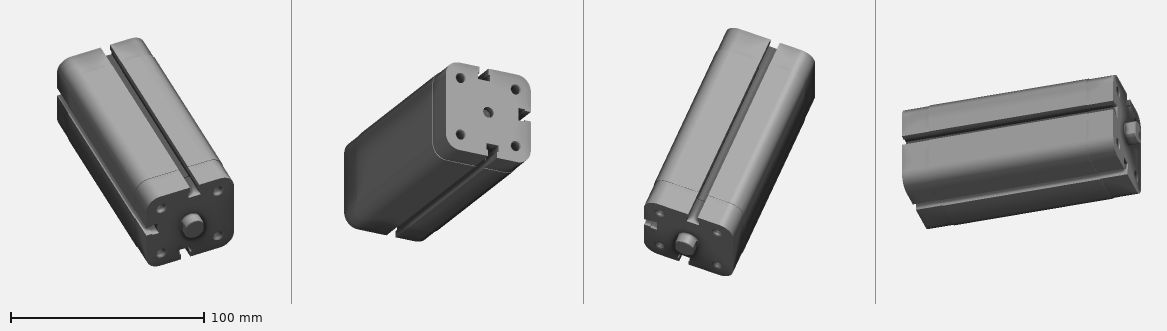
import cadquery as cq

overall_length = 120.5
rod_stub = 6.0
body_length = overall_length - rod_stub
cap_length = 14.5
tube_length = body_length - 2 * cap_length

tube_width = 50.0
cap_step = 0.2
cap_width = tube_width - 2 * cap_step
tube_corner_radius = 8.0
cap_corner_radius = 8.0

slot_offset = 2.5
slot_mouth = 5.3
slot_lip = 3.7
tube_slot_width = 6.3
tube_slot_depth = 7.0
tube_slot_floor = tube_width / 2 - tube_slot_depth
cap_slot_clearance = 0.4
cap_slot_width = tube_slot_width + 2 * cap_slot_clearance
cap_slot_floor = tube_slot_floor - cap_slot_clearance
slot_turns = (0, 90, 180)

screw_spacing = 32.0
screw_diameter = 5.0
screw_countersink_diameter = 6.0
centre_hole_diameter = 6.0
centre_hole_depth = 4.0

rod_diameter = 11.8
rod_chamfer = 0.4
rod_flat_width = 9.8
rod_flat_start = 0.5
rod_flat_cutter_radius = 12.0


def rounded_bar(start, length, width, corner_radius):
    """A square bar along X with rounded corners."""
    return (
        cq.Workplane("YZ", origin=(start, 0, 0))
        .rect(width, width)
        .extrude(length)
        .edges("|X")
        .fillet(corner_radius)
    )


def cut_slots(body, start, length, slot_width, slot_floor):
    """Cut the T-slots along the body, starting from the one in the +Z side."""
    half = tube_width / 2
    lip_bottom = half - slot_lip
    plane = cq.Workplane("YZ", origin=(start, 0, 0))
    mouth = plane.center(slot_offset, (slot_floor + half) / 2)
    mouth = mouth.rect(slot_mouth, half - slot_floor).extrude(length)
    undercut = plane.center(slot_offset, (slot_floor + lip_bottom) / 2)
    undercut = undercut.rect(slot_width, lip_bottom - slot_floor).extrude(length)
    slot = mouth.union(undercut)
    for turn in slot_turns:
        body = body.cut(slot.rotate((0, 0, 0), (1, 0, 0), turn))
    return body


def cut_screw_holes(body, start, length):
    holes = (
        cq.Workplane("YZ", origin=(start, 0, 0))
        .rect(screw_spacing, screw_spacing, forConstruction=True)
        .vertices()
        .circle(screw_diameter / 2)
        .extrude(length)
    )
    return body.cut(holes)


def make_cap(start, outer_face):
    """An end cap with its screw holes countersunk in the outer face."""
    cap = rounded_bar(start, cap_length, cap_width, cap_corner_radius)
    cap = cut_slots(cap, start, cap_length, cap_slot_width, cap_slot_floor)
    cap = cut_screw_holes(cap, start, cap_length)
    smallest = cq.selectors.RadiusNthSelector(0)
    countersink = (screw_countersink_diameter - screw_diameter) / 2
    return cap.faces(outer_face).edges("%CIRCLE").edges(smallest).chamfer(countersink)


def make_rear_cap():
    cap = make_cap(0, "<X")
    centre_hole = cq.Workplane("YZ").circle(centre_hole_diameter / 2).extrude(centre_hole_depth)
    return cap.cut(centre_hole)


def make_front_cap():
    return make_cap(body_length - cap_length, ">X")


def make_tube():
    tube = rounded_bar(cap_length, tube_length, tube_width, tube_corner_radius)
    tube = cut_slots(tube, cap_length, tube_length, tube_slot_width, tube_slot_floor)
    return cut_screw_holes(tube, cap_length, tube_length)


def make_rod():
    rod = cq.Workplane("YZ", origin=(body_length, 0, 0)).circle(rod_diameter / 2)
    rod = rod.extrude(rod_stub).faces(">X").chamfer(rod_chamfer)
    cutter_x = body_length + rod_flat_start + rod_flat_cutter_radius
    for side in (-1, 1):
        cutter = (
            cq.Workplane("XZ", origin=(cutter_x, side * rod_flat_width / 2, 0))
            .circle(rod_flat_cutter_radius)
            .extrude(-side * rod_diameter)
        )
        rod = rod.cut(cutter)
    return rod


rear_cap = make_rear_cap()
tube = make_tube()
front_cap = make_front_cap()
rod = make_rod()

result = cq.Compound.makeCompound([rear_cap.val(), tube.val(), front_cap.val(), rod.val()])